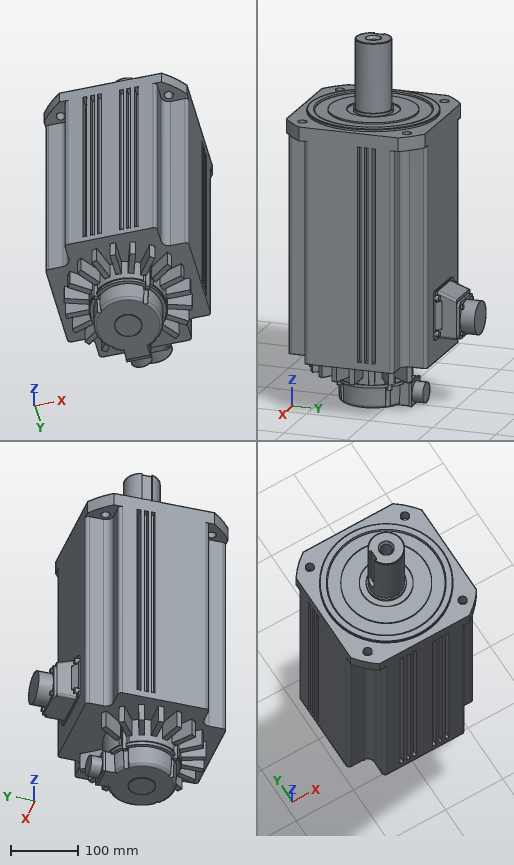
import cadquery as cq
import math


CLEARANCE = 0.5

DIAGONALS = (45, 135, 225, 315)

CAP_BOTTOM = 1.5
ENCODER_TOP = 35.5
HUB_BOTTOM = 41.0
FIN_BOTTOM = 52.0
REAR_PLATE_BOTTOM = 81.0
BODY_BOTTOM = 93.0
FLANGE_BOTTOM = 430.0
FLANGE_TOP = 451.5
PILOT_TOP = 455.5
SHAFT_TOP = 566.5

WIDTH = 220.0
OVERALL_DEPTH = 279.5
HALF = WIDTH / 2
NOTCH_WALL = 71.0
NOTCH_FILLET = 12.0
EDGE_FILLET = 5.0
FLANGE_CORNER_DIAMETER = 270.0
BOLT_SPACING = 166.0
BOLT_HOLE_DIAMETER = 13.5

SLOT_OFFSETS = (17.0, 28.0, 39.5)
SLOT_WIDTH = 5.5
SLOT_FLOOR_RADIUS = 103.0

PILOT_RADIUS = 99.5
PILOT_RIM_INNER_RADIUS = 88.0
PILOT_CHAMFER = 1.0
PILOT_RIM_CHAMFER = 1.5
PILOT_FACE_RADIUS = 68.0
PILOT_RECESS = 2.0
SEAL_BORE_RADIUS = 40.0
SEAL_LIP_RADIUS = 30.0
SEAL_LIP_HEIGHT = 1.5
SHAFT_RADIUS = 55.0 / 2
SHAFT_CHAMFER = 1.0
KEY_WIDTH = 16.0
KEY_LENGTH = 91.0
KEY_FLOOR = 21.5
CENTRE_HOLE_DIAMETER = 18.0
CENTRE_HOLE_DEPTH = 45.5
CENTRE_SINK_DIAMETER = 24.0
CENTRE_SINK_ANGLE = 60
DRILL_TIP_ANGLE = 118

FIN_COUNT = 20
FIN_RADIUS = 96.0
FIN_WIDTH = 8.5
FIN_GAP_DIRECTION = 90
FIN_GAP_HALF_ANGLE = 20
HUB_RADIUS = 59.0
HUB_LIP_RADIUS = 57.0

COVER_TOP_RADIUS = 52.0
COVER_BOTTOM_RADIUS = 51.0
COVER_FILLET = 4.0
CAP_RADIUS = 20.5
SCREW_RADIUS = 3.5
SCREW_CIRCLE_RADIUS = 56.0
SCREW_END = 31.0
SCREW_POCKET_WIDTH = 17.0
SCREW_POCKET_FLOOR = 50.0
FLUTE_RADIUS = 4.0
FLUTE_CIRCLE_RADIUS = 51.0

ENCODER_PLUG_Z = 20.0
ENCODER_PLUG_RADIUS = 16.0
ENCODER_PLUG_END = 84.0
ENCODER_PLATE_FRONT = 67.0
ENCODER_PLATE_BACK = 63.0
ENCODER_PLATE_SIZE = 37.5
ENCODER_BLOCK_SIZE = 36.0

POWER_PLUG_Z = 146.0
POWER_PLUG_RADIUS = 51.5 / 2
POWER_PLUG_END = OVERALL_DEPTH - HALF
COLLAR_FRONT = 147.0
COLLAR_BACK = 142.0
COLLAR_SIZE = 58.0
COLLAR_CORNER = 7.5
COLLAR_SCREW_OFFSET = 21.0
COLLAR_SCREW_RADIUS = 3.5
COLLAR_SCREW_HEIGHT = 3.5
BOX_HALF_WIDTH = 30.0
BOX_BOTTOM = 117.0
BOX_TOP_FRONT = 179.5
BOX_TOP_BACK = 191.5
BOX_FILLET = 3.5
BASE_HALF_WIDTH = 40.0
BASE_BOTTOM = 115.5
BASE_TOP = 192.5
BASE_FRONT = HALF + 2.0
BASE_CORNER = 4.0
BASE_SCREW_X = 37.0
BASE_SCREW_PITCH = 56.0
BASE_SCREW_RADIUS = 4.25
BASE_SCREW_TOP = HALF + 8.0
GUSSET_LENGTH = 44.0
GUSSET_TOP = HALF + 9.5


def cylinder(radius, bottom, top, x=0):
    return cq.Workplane("XY", origin=(x, 0, bottom)).circle(radius).extrude(top - bottom)


def cylinder_along_y(radius, start, end, z, x=0):
    return cq.Workplane("XZ", origin=(x, start, z)).circle(radius).extrude(start - end)


def block(x_range, y_range, z_range):
    size = [end - start for start, end in (x_range, y_range, z_range)]
    corner = (x_range[0], y_range[0], z_range[0])
    return cq.Workplane("XY").box(*size, centered=False).translate(corner)


def square_along_y(size, start, end, z):
    half = size / 2
    return block((-half, half), (start, end), (z - half, z + half))


def notched_column(bottom, top):
    """Square column with a square notch along each corner."""
    height = top - bottom
    column = cq.Workplane("XY", origin=(0, 0, bottom)).rect(WIDTH, WIDTH).extrude(height)
    notch_size = 2 * (HALF - NOTCH_WALL)
    notches = (
        cq.Workplane("XY", origin=(0, 0, bottom))
        .rect(WIDTH, WIDTH, forConstruction=True)
        .vertices()
        .rect(notch_size, notch_size)
        .extrude(height)
    )
    column = column.cut(notches)
    reach = NOTCH_WALL + CLEARANCE
    inner = cq.selectors.BoxSelector((-reach, -reach, bottom), (reach, reach, top))
    column = column.edges("|Z").edges(inner).fillet(NOTCH_FILLET)
    for face in (">X", "<X", ">Y", "<Y"):
        column = column.faces(face).edges("|Z").fillet(EDGE_FILLET)
    return column


def body_slots():
    """Slot groups: two on -Y, and one on the +Y half of -X and of +X."""
    group = cq.Workplane("XY")
    for offset in SLOT_OFFSETS:
        sides = (offset - SLOT_WIDTH / 2, offset + SLOT_WIDTH / 2)
        group = group.union(block(sides, (-HALF, 0), (BODY_BOTTOM, FLANGE_BOTTOM)))
    group = group.cut(cylinder(SLOT_FLOOR_RADIUS, BODY_BOTTOM, FLANGE_BOTTOM))
    mirrored = group.mirror("YZ")
    left = mirrored.rotate((0, 0, 0), (0, 0, 1), -90)
    right = group.rotate((0, 0, 0), (0, 0, 1), 90)
    return group.union(mirrored).union(left).union(right)


def flange():
    height = FLANGE_TOP - FLANGE_BOTTOM
    plate = cq.Workplane("XY", origin=(0, 0, FLANGE_BOTTOM)).rect(WIDTH, WIDTH).extrude(height)
    plate = plate.intersect(cylinder(FLANGE_CORNER_DIAMETER / 2, FLANGE_BOTTOM, FLANGE_TOP))
    return (
        plate.faces(">Z").workplane()
        .rect(BOLT_SPACING, BOLT_SPACING, forConstruction=True)
        .vertices().hole(BOLT_HOLE_DIAMETER)
    )


def pilot():
    """Raised rim around a slightly recessed face, with a bore for the shaft seal."""
    face_level = PILOT_TOP - PILOT_RECESS
    rim = cylinder(PILOT_RADIUS, FLANGE_TOP, PILOT_TOP).faces(">Z").chamfer(PILOT_CHAMFER)
    rim = rim.cut(cylinder(PILOT_RIM_INNER_RADIUS, face_level, PILOT_TOP))
    innermost = cq.selectors.RadiusNthSelector(0)
    rim = rim.faces(">Z").edges(innermost).chamfer(PILOT_RIM_CHAMFER)
    rim = rim.union(cylinder(PILOT_FACE_RADIUS, FLANGE_TOP, PILOT_TOP))
    rim = rim.cut(cylinder(SEAL_BORE_RADIUS, face_level, PILOT_TOP))
    return rim.union(cylinder(SEAL_LIP_RADIUS, FLANGE_TOP, PILOT_TOP + SEAL_LIP_HEIGHT))


def shaft():
    bar = cylinder(SHAFT_RADIUS, FLANGE_TOP, SHAFT_TOP).faces(">Z").chamfer(SHAFT_CHAMFER)
    key_radius = KEY_WIDTH / 2
    key_end = SHAFT_TOP - KEY_LENGTH
    keyway = block(
        (-SHAFT_RADIUS, -KEY_FLOOR), (-key_radius, key_radius), (key_end + key_radius, SHAFT_TOP)
    )
    round_end = (
        cq.Workplane("YZ", origin=(-SHAFT_RADIUS, 0, key_end + key_radius))
        .circle(key_radius).extrude(SHAFT_RADIUS - KEY_FLOOR)
    )
    bar = bar.cut(keyway).cut(round_end)
    return bar.cut(centre_hole())


def centre_hole():
    """Countersunk drilled hole with a conical tip."""
    hole_radius = CENTRE_HOLE_DIAMETER / 2
    sink_radius = CENTRE_SINK_DIAMETER / 2
    sink_depth = (sink_radius - hole_radius) / math.tan(math.radians(CENTRE_SINK_ANGLE / 2))
    tip_length = hole_radius / math.tan(math.radians(DRILL_TIP_ANGLE / 2))
    return (
        cq.Workplane("XZ", origin=(0, 0, SHAFT_TOP))
        .lineTo(sink_radius, 0)
        .lineTo(hole_radius, -sink_depth)
        .lineTo(hole_radius, -CENTRE_HOLE_DEPTH)
        .lineTo(0, -CENTRE_HOLE_DEPTH - tip_length)
        .close()
        .revolve(360, (0, 0, 0), (0, 1, 0))
    )


def hub_and_fins():
    """Hub with radial fins; the fins nearest +Y are left out."""
    hub = cylinder(HUB_RADIUS, HUB_BOTTOM, REAR_PLATE_BOTTOM)
    fin = block((0, FIN_RADIUS), (-FIN_WIDTH / 2, FIN_WIDTH / 2), (FIN_BOTTOM, REAR_PLATE_BOTTOM))
    for index in range(FIN_COUNT):
        angle = index * 360 / FIN_COUNT
        if abs(angle - FIN_GAP_DIRECTION) > FIN_GAP_HALF_ANGLE:
            hub = hub.union(fin.rotate((0, 0, 0), (0, 0, 1), angle))
    return hub


def encoder_cover():
    drum = (
        cq.Workplane("XY", origin=(0, 0, CAP_BOTTOM)).circle(COVER_BOTTOM_RADIUS)
        .workplane(offset=ENCODER_TOP - CAP_BOTTOM).circle(COVER_TOP_RADIUS).loft()
        .faces("<Z").edges().fillet(COVER_FILLET)
    )
    return drum.union(cylinder(CAP_RADIUS, 0, ENCODER_TOP))


def encoder_connector():
    z = ENCODER_PLUG_Z
    plug = cylinder_along_y(ENCODER_PLUG_RADIUS, 0, ENCODER_PLUG_END, z)
    plate = square_along_y(ENCODER_PLATE_SIZE, ENCODER_PLATE_BACK, ENCODER_PLATE_FRONT, z)
    body = square_along_y(ENCODER_BLOCK_SIZE, 0, ENCODER_PLATE_BACK, z)
    return body.union(plate).union(plug)


def rear_end():
    """Hub, fins and encoder cover, with a screw in a pocket and a flute at each diagonal."""
    rear = hub_and_fins()
    drum = encoder_cover()
    lip = cylinder(HUB_LIP_RADIUS, ENCODER_TOP, HUB_BOTTOM)
    pocket = block(
        (SCREW_POCKET_FLOOR, HUB_RADIUS + CLEARANCE),
        (-SCREW_POCKET_WIDTH / 2, SCREW_POCKET_WIDTH / 2),
        (HUB_BOTTOM, REAR_PLATE_BOTTOM),
    )
    flute = cylinder(FLUTE_RADIUS, 0, ENCODER_TOP, FLUTE_CIRCLE_RADIUS)
    screw = cylinder(SCREW_RADIUS, SCREW_END, REAR_PLATE_BOTTOM, SCREW_CIRCLE_RADIUS)
    screws = cq.Workplane("XY")
    for angle in DIAGONALS:
        rear = rear.cut(pocket.rotate((0, 0, 0), (0, 0, 1), angle))
        drum = drum.cut(flute.rotate((0, 0, 0), (0, 0, 1), angle))
        screws = screws.union(screw.rotate((0, 0, 0), (0, 0, 1), angle))
    return rear.union(lip).union(drum).union(screws).union(encoder_connector())


def power_connector():
    base = block((-BASE_HALF_WIDTH, BASE_HALF_WIDTH), (HALF, BASE_FRONT), (BASE_BOTTOM, BASE_TOP))
    base = base.edges("|Y").fillet(BASE_CORNER)
    box = (
        cq.Workplane("YZ", origin=(-BOX_HALF_WIDTH, 0, 0))
        .moveTo(HALF, BOX_BOTTOM)
        .lineTo(COLLAR_BACK, BOX_BOTTOM)
        .lineTo(COLLAR_BACK, BOX_TOP_FRONT)
        .lineTo(HALF, BOX_TOP_BACK)
        .close()
        .extrude(2 * BOX_HALF_WIDTH)
    )
    box = box.faces("<Z or >Z").edges("<X or >X").fillet(BOX_FILLET)
    collar = square_along_y(COLLAR_SIZE, COLLAR_BACK, COLLAR_FRONT, POWER_PLUG_Z)
    collar = collar.edges("|Y").fillet(COLLAR_CORNER)
    plug = cylinder_along_y(POWER_PLUG_RADIUS, COLLAR_BACK, POWER_PLUG_END, POWER_PLUG_Z)
    connector = base.union(box).union(collar).union(plug)

    middle = (BASE_BOTTOM + BASE_TOP) / 2
    gusset = (
        cq.Workplane("XY", origin=(0, 0, middle - GUSSET_LENGTH / 2))
        .moveTo(-BASE_HALF_WIDTH, BASE_FRONT)
        .lineTo(-BOX_HALF_WIDTH, GUSSET_TOP)
        .lineTo(BOX_HALF_WIDTH, GUSSET_TOP)
        .lineTo(BASE_HALF_WIDTH, BASE_FRONT)
        .close()
        .extrude(GUSSET_LENGTH)
    )
    connector = connector.union(gusset)
    for side in (-1, 1):
        for level in (-1, 1):
            connector = connector.union(cylinder_along_y(
                BASE_SCREW_RADIUS, HALF, BASE_SCREW_TOP,
                middle + level * BASE_SCREW_PITCH / 2, side * BASE_SCREW_X,
            ))
            connector = connector.union(cylinder_along_y(
                COLLAR_SCREW_RADIUS, COLLAR_BACK, COLLAR_FRONT + COLLAR_SCREW_HEIGHT,
                POWER_PLUG_Z + level * COLLAR_SCREW_OFFSET, side * COLLAR_SCREW_OFFSET,
            ))
    return connector


body = notched_column(BODY_BOTTOM, FLANGE_BOTTOM).cut(body_slots())
rear_plate = notched_column(REAR_PLATE_BOTTOM, BODY_BOTTOM)

result = (
    body.union(rear_plate)
    .union(flange())
    .union(pilot())
    .union(shaft())
    .union(rear_end())
    .union(power_connector())
)